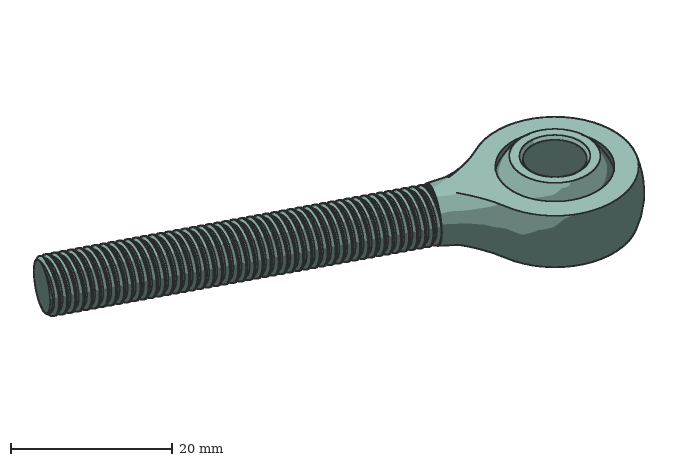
import cadquery as cq
import math


overall_length = 77.8
head_radius = 11.1
head_thickness = 7.9
neck_fillet_radius = 10.1
mouth_radius = 7.4
ball_radius = 7.9
ball_width = 11.1
bore_radius = 4.0
bore_chamfer = 0.43
neck_radius = 4.0
thread_radius = 3.9
thread_depth = 0.5
flank_angle = 60
pitch_count = 48
tip_chamfer = 0.5

fillet_centre_x = neck_radius + neck_fillet_radius
fillet_centre_distance = head_radius + neck_fillet_radius
tangent_angle = math.acos(fillet_centre_x / fillet_centre_distance)
neck_end_y = -fillet_centre_distance * math.sin(tangent_angle)

tip_y = head_radius - overall_length
pitch = (neck_end_y - tip_y) / pitch_count
root_radius = thread_radius - thread_depth
root_flat = pitch / 4


def point_on_circle(centre_x, centre_y, radius, angle):
    return (centre_x + radius * math.cos(angle), centre_y + radius * math.sin(angle))


def revolve_about_shank(profile):
    return profile.close().revolve(360, (0, 0, 0), (0, 1, 0))


def make_head():
    """Sphere blended into the neck, cut flat on both sides."""
    head_mid_angle = (math.pi / 2 - tangent_angle) / 2
    neck_mid_angle = math.pi - tangent_angle / 2
    profile = (
        cq.Workplane("XY")
        .moveTo(0, head_radius)
        .threePointArc(
            point_on_circle(0, 0, head_radius, head_mid_angle),
            point_on_circle(0, 0, head_radius, -tangent_angle),
        )
        .threePointArc(
            point_on_circle(fillet_centre_x, neck_end_y, neck_fillet_radius, neck_mid_angle),
            (neck_radius, neck_end_y),
        )
        .lineTo(0, neck_end_y)
    )
    slab = cq.Workplane("XY").box(2 * overall_length, 2 * overall_length, head_thickness)
    return revolve_about_shank(profile).intersect(slab)


def make_thread_groove():
    """Ring with the section of one thread groove, centred on the origin and slanted by one pitch."""
    ring_depth = 2 * thread_depth
    outer_radius = root_radius + ring_depth
    half_root = root_flat / 2
    half_mouth = half_root + ring_depth / math.tan(math.radians(flank_angle))
    profile = (
        cq.Workplane("XY")
        .moveTo(root_radius, -half_root)
        .lineTo(outer_radius, -half_mouth)
        .lineTo(outer_radius, half_mouth)
        .lineTo(root_radius, half_root)
    )
    slant = math.degrees(math.atan(pitch / (2 * thread_radius)))
    return revolve_about_shank(profile).rotate((0, 0, 0), (0, 0, 1), slant)


def make_threaded_shank():
    """Shank chamfered at the tip, with slanted ring grooves one pitch apart."""
    profile = (
        cq.Workplane("XY")
        .moveTo(0, neck_end_y)
        .lineTo(thread_radius, neck_end_y)
        .lineTo(thread_radius, tip_y + tip_chamfer)
        .lineTo(thread_radius - tip_chamfer, tip_y)
        .lineTo(0, tip_y)
    )
    shank = revolve_about_shank(profile)
    groove = make_thread_groove()
    for index in range(pitch_count + 1):
        shank = shank.cut(groove.translate((0, tip_y + index * pitch, 0)), clean=False)
    return shank


def make_rod_end():
    mouth = cq.Workplane("XY").circle(mouth_radius).extrude(head_thickness / 2, both=True)
    race = cq.Workplane("XY").sphere(ball_radius)
    return make_head().union(make_threaded_shank()).cut(mouth).cut(race)


def make_ball():
    """Truncated sphere with a chamfered bore."""
    slab = cq.Workplane("XY").box(2 * ball_radius, 2 * ball_radius, ball_width)
    bore = cq.Workplane("XY").circle(bore_radius).extrude(ball_width / 2, both=True)
    bored_ball = cq.Workplane("XY").sphere(ball_radius).intersect(slab).cut(bore)
    bore_rims = bored_ball.faces("|Z").edges(cq.selectors.RadiusNthSelector(0))
    return bore_rims.chamfer(bore_chamfer)


rod_end = make_rod_end()
ball = make_ball()

result = cq.Compound.makeCompound([rod_end.val(), ball.val()])